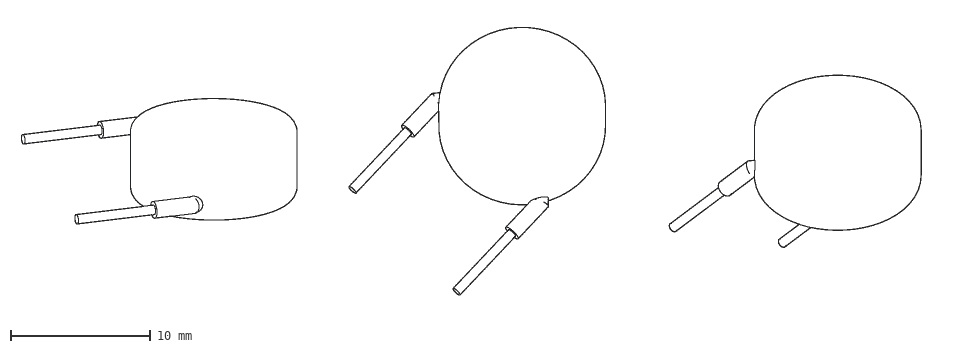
import cadquery as cq
import math

housing_diameter = 12.0
housing_height = 6.0
rim_radius = 1.0

lead_spacing = 10.0
lead_height_offset = 1.6
sleeve_diameter = 1.22
wire_diameter = 0.7
bend_y = -3.71
bend_angle = 42.0
bent_length = 1.5
sleeve_end_y = -6.75
overall_length = 18.75
wire_end_y = housing_diameter / 2 - overall_length


def make_housing():
    base = cq.Workplane("XY").workplane(offset=-housing_height / 2)
    disc = base.circle(housing_diameter / 2).extrude(housing_height)
    return disc.edges("%CIRCLE").fillet(rim_radius)


def make_lead(side, housing):
    """One lead at side -1 (left, raised) or +1 (right, lowered), trimmed to the housing wall."""
    x = side * lead_spacing / 2
    z = -side * lead_height_offset
    turn = math.radians(bend_angle)
    bent_end = (
        x - side * bent_length * math.sin(turn),
        bend_y + bent_length * math.cos(turn),
        z,
    )
    centreline = cq.Workplane("XY").polyline([(x, sleeve_end_y, z), (x, bend_y, z), bent_end])

    sleeve_end = cq.Workplane("XZ", origin=(x, sleeve_end_y, z))
    sleeve = sleeve_end.circle(sleeve_diameter / 2).sweep(centreline, transition="right")
    wire = sleeve_end.circle(wire_diameter / 2).extrude(sleeve_end_y - wire_end_y)
    return sleeve.union(wire).cut(housing)


housing = make_housing()
leads = [make_lead(side, housing) for side in (-1, 1)]

result = cq.Compound.makeCompound([housing.val(), *[lead.val() for lead in leads]])